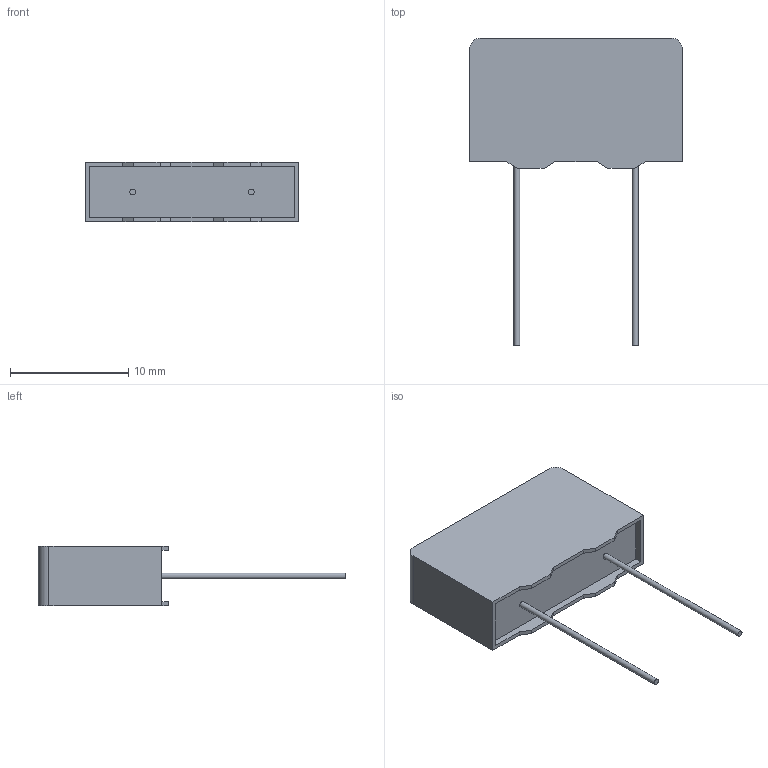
import cadquery as cq


case_width = 18.0
case_depth = 11.0
case_thickness = 5.0
back_corner_radius = 0.9

foot_height = 0.55
foot_root_outer = 5.85
foot_tip_outer = 4.95
foot_tip_inner = 2.7
foot_root_inner = 1.8

wall = 0.34
recess_depth = 0.55

lead_pitch = 10.0
lead_diameter = 0.5
lead_length = 15.0
lead_embedment = 1.0

half_width = case_width / 2
rim_y = foot_height
floor_y = rim_y + recess_depth


def make_case():
    """Solid case: rounded back corners and two trapezoidal feet along the front."""
    outline = [
        (-half_width, case_depth),
        (-half_width, rim_y),
        (-foot_root_outer, rim_y),
        (-foot_tip_outer, 0),
        (-foot_tip_inner, 0),
        (-foot_root_inner, rim_y),
        (foot_root_inner, rim_y),
        (foot_tip_inner, 0),
        (foot_tip_outer, 0),
        (foot_root_outer, rim_y),
        (half_width, rim_y),
        (half_width, case_depth),
    ]
    body = cq.Workplane("XY").polyline(outline).close().extrude(case_thickness / 2, both=True)
    return body.edges("|Z and >Y").fillet(back_corner_radius)


def make_recess():
    """Block that clears the front opening from the foot tips down to the potting surface."""
    return cq.Workplane("XY").box(
        case_width - 2 * wall,
        floor_y,
        case_thickness - 2 * wall,
        centered=(True, False, True),
    )


def make_lead(x):
    """Round wire at the given X, from inside the potting to its free end."""
    return (
        cq.Workplane("XZ", origin=(x, floor_y + lead_embedment, 0))
        .circle(lead_diameter / 2)
        .extrude(lead_embedment + floor_y + lead_length)
    )


result = make_case().cut(make_recess())
for side in (-1, 1):
    result = result.union(make_lead(side * lead_pitch / 2))